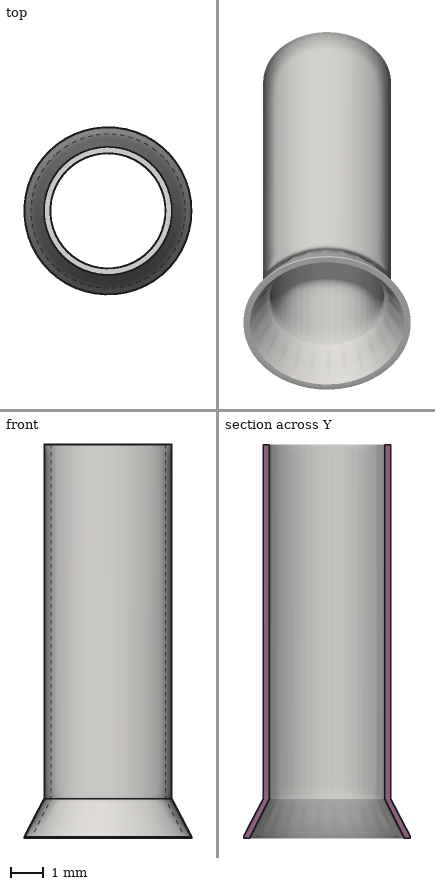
import cadquery as cq

total_length = 12.0
bore_diameter = 3.5
wall = 0.2
mouth_diameter = 5.1
flare_height = 1.2
rim_height = 0.05

bore_radius = bore_diameter / 2
tube_radius = bore_radius + wall
mouth_radius = mouth_diameter / 2
funnel_radius = mouth_radius - wall


def wall_section():
    """Closed half section of the wall, drawn as (radius, height) points."""
    outside = [
        (mouth_radius, 0),
        (mouth_radius, rim_height),
        (tube_radius, flare_height),
        (tube_radius, total_length),
    ]
    inside = [
        (bore_radius, total_length),
        (bore_radius, flare_height),
        (funnel_radius, 0),
    ]
    return cq.Workplane("XZ").polyline(outside + inside).close()


def flared_tube():
    """Turn the wall section a full circle about the Z axis."""
    return wall_section().revolve(360, (0, 0, 0), (0, 1, 0))


result = flared_tube()